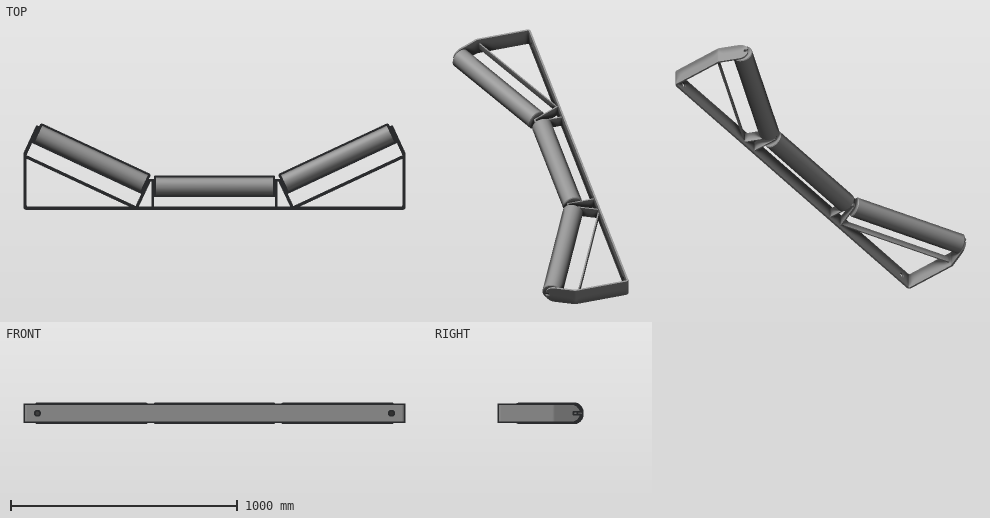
import cadquery as cq
import math

FRAME_LENGTH = 1680.0
STRIP_WIDTH = 80.0
FRAME_THICKNESS = 8.0
BASE_BEND_RADIUS = 13.0
ARM_BEND_RADIUS = 24.0
ARM_BEND_HEIGHT = 245.0
ARM_LENGTH = 135.0
TROUGH_ANGLE = 25.0
MOUNT_HOLE_DIAMETER = 24.0
MOUNT_HOLE_SPACING = 1562.0

ROLLER_DIAMETER = 89.0
ROLLER_LENGTH = 530.0
ROLLER_CHAMFER = 3.0
ROLLER_GAP = 5.0
AXLE_DIAMETER = 20.0
AXLE_FLAT_WIDTH = 14.1
WING_AXLE_REACH = 105.0
CENTRE_AXLE_HEIGHT = 100.0

BRACKET_THICKNESS = 6.0
BRACKET_WIDTH = 50.0
BRACKET_HEIGHT = 131.0

BRACE_WIDTH = 30.0
BRACE_THICKNESS = 6.0
BRACE_TOP_HEIGHT = 235.0

SIN_TILT = math.sin(math.radians(TROUGH_ANGLE))
COS_TILT = math.cos(math.radians(TROUGH_ANGLE))
HALF_LENGTH = FRAME_LENGTH / 2
UP_ARM = cq.Vector(SIN_TILT, COS_TILT, 0)
DOWN_ROLLER = cq.Vector(COS_TILT, -SIN_TILT, 0)
ARM_CORNER = cq.Vector(-HALF_LENGTH, ARM_BEND_HEIGHT, 0)
WING_AXLE_START = ARM_CORNER + UP_ARM * WING_AXLE_REACH
WING_BRACKET_FACE = WING_AXLE_START + DOWN_ROLLER * (FRAME_THICKNESS + ROLLER_LENGTH + 2 * ROLLER_GAP)
CENTRE_BRACKET_FACE_X = -(ROLLER_LENGTH / 2 + ROLLER_GAP)
X_AXIS = cq.Vector(1, 0, 0)
Y_AXIS = cq.Vector(0, 1, 0)


def extrude_outline(points, width):
    """Extrude a closed XY outline symmetrically about Z = 0."""
    outline = [(point.x, point.y) for point in points]
    return cq.Workplane("XY").polyline(outline).close().extrude(width / 2, both=True)


def mirrored(body):
    """Return the copy of a body on the +X side."""
    return body.mirror("YZ")


def axle_slot(axle_centre, axis, opening, depth):
    """Open-ended slot that seats a flatted axle end and runs out along `opening`.

    The slot begins at `axle_centre` and goes `depth` along the axle axis.
    """
    mouth = ARM_LENGTH
    plane = cq.Plane(origin=axle_centre.toTuple(), xDir=opening.toTuple(), normal=axis.toTuple())
    round_seat = cq.Workplane(plane).circle(AXLE_DIAMETER / 2).extrude(depth)
    open_part = cq.Workplane(plane).center(mouth / 2, 0).rect(mouth, AXLE_DIAMETER).extrude(depth)
    between_flats = cq.Workplane(plane).rect(2 * mouth, AXLE_FLAT_WIDTH).extrude(depth)
    return round_seat.union(open_part).intersect(between_flats)


def wing_arm():
    """Leaning end of the frame strip, with a rounded tip and the axle slot."""
    tip_radius = STRIP_WIDTH / 2
    plane = cq.Plane(origin=ARM_CORNER.toTuple(), xDir=UP_ARM.toTuple(), normal=DOWN_ROLLER.toTuple())
    tip_centre = ARM_LENGTH - tip_radius
    blank = (
        cq.Workplane(plane)
        .moveTo(0, -tip_radius)
        .lineTo(tip_centre, -tip_radius)
        .threePointArc((ARM_LENGTH, 0), (tip_centre, tip_radius))
        .lineTo(0, tip_radius)
        .close()
        .extrude(FRAME_THICKNESS)
    )
    return blank.cut(axle_slot(WING_AXLE_START, DOWN_ROLLER, UP_ARM, FRAME_THICKNESS))


def make_frame():
    """One bent strip: base, two uprights and two leaning arms."""
    inner_x = -HALF_LENGTH + FRAME_THICKNESS
    inner_bend_height = ARM_BEND_HEIGHT - FRAME_THICKNESS * math.tan(math.radians(TROUGH_ANGLE / 2))
    base = cq.Workplane("XY").box(
        FRAME_LENGTH, FRAME_THICKNESS, STRIP_WIDTH, centered=(True, False, True)
    )
    upright = extrude_outline(
        [
            cq.Vector(-HALF_LENGTH, 0, 0),
            cq.Vector(inner_x, 0, 0),
            cq.Vector(inner_x, inner_bend_height, 0),
            ARM_CORNER,
        ],
        STRIP_WIDTH,
    )
    side = upright.union(wing_arm())
    frame = base.union(side).union(mirrored(side))

    def bend_edges(x, y):
        """Pick the bend edges at (x, y) and at its mirror place."""
        reach = FRAME_THICKNESS / 4
        left, right = (
            cq.selectors.BoxSelector(
                (edge_x - reach, y - reach, -STRIP_WIDTH), (edge_x + reach, y + reach, STRIP_WIDTH)
            )
            for edge_x in (x, -x)
        )
        return frame.edges("|Z").edges(left + right)

    for x, y, radius in (
        (-HALF_LENGTH, 0, BASE_BEND_RADIUS),
        (inner_x, FRAME_THICKNESS, BASE_BEND_RADIUS - FRAME_THICKNESS),
        (-HALF_LENGTH, ARM_BEND_HEIGHT, ARM_BEND_RADIUS),
        (inner_x, inner_bend_height, ARM_BEND_RADIUS - FRAME_THICKNESS),
    ):
        frame = bend_edges(x, y).fillet(radius)

    mount_holes = (
        cq.Workplane("XZ")
        .pushPoints([(-MOUNT_HOLE_SPACING / 2, 0), (MOUNT_HOLE_SPACING / 2, 0)])
        .circle(MOUNT_HOLE_DIAMETER / 2)
        .extrude(-FRAME_THICKNESS)
    )
    return frame.cut(mount_holes)


def make_bracket():
    """Inverted V on the base that carries a wing roller and the centre roller."""
    def wing_face_at(height, inset=0):
        """Point of the leaning leg at Y = height, `inset` behind its outer face."""
        start = WING_BRACKET_FACE + DOWN_ROLLER * inset
        return start + UP_ARM * ((height - start.y) / COS_TILT)

    face_x = CENTRE_BRACKET_FACE_X
    back_x = face_x - BRACKET_THICKNESS
    bridge_underside = BRACKET_HEIGHT - BRACKET_THICKNESS
    bracket = extrude_outline(
        [
            wing_face_at(FRAME_THICKNESS),
            wing_face_at(BRACKET_HEIGHT),
            cq.Vector(face_x, BRACKET_HEIGHT, 0),
            cq.Vector(face_x, FRAME_THICKNESS, 0),
            cq.Vector(back_x, FRAME_THICKNESS, 0),
            cq.Vector(back_x, bridge_underside, 0),
            wing_face_at(bridge_underside, BRACKET_THICKNESS),
            wing_face_at(FRAME_THICKNESS, BRACKET_THICKNESS),
        ],
        BRACKET_WIDTH,
    )
    bracket = bracket.faces(">Y").edges("|Z").fillet(BRACKET_THICKNESS)
    centre_slot_start = cq.Vector(back_x, CENTRE_AXLE_HEIGHT, 0)
    bracket = bracket.cut(axle_slot(centre_slot_start, X_AXIS, Y_AXIS, BRACKET_THICKNESS))
    return bracket.cut(axle_slot(WING_BRACKET_FACE, DOWN_ROLLER, UP_ARM, BRACKET_THICKNESS))


def make_brace():
    """Flat bar from the upright down to the base, parallel to the wing roller."""
    slope = SIN_TILT / COS_TILT
    drop = BRACE_THICKNESS / COS_TILT
    top_x = -HALF_LENGTH + FRAME_THICKNESS

    def foot(start_height):
        return cq.Vector(top_x + (start_height - FRAME_THICKNESS) / slope, FRAME_THICKNESS, 0)

    return extrude_outline(
        [
            cq.Vector(top_x, BRACE_TOP_HEIGHT, 0),
            foot(BRACE_TOP_HEIGHT),
            foot(BRACE_TOP_HEIGHT - drop),
            cq.Vector(top_x, BRACE_TOP_HEIGHT - drop, 0),
        ],
        BRACE_WIDTH,
    )


def make_roller(axle_start, axis, start_support, end_support):
    """Roller and axle; the flatted axle ends fill slots of the given thicknesses."""
    plane = cq.Plane(origin=axle_start.toTuple(), xDir=(0, 0, 1), normal=axis.toTuple())
    axle_length = start_support + ROLLER_LENGTH + 2 * ROLLER_GAP + end_support
    axle = cq.Workplane(plane).circle(AXLE_DIAMETER / 2).extrude(axle_length)
    between_flats = cq.Workplane(plane).rect(AXLE_FLAT_WIDTH, 2 * AXLE_DIAMETER).extrude(axle_length)
    shell = (
        cq.Workplane(plane)
        .workplane(offset=start_support + ROLLER_GAP)
        .circle(ROLLER_DIAMETER / 2)
        .extrude(ROLLER_LENGTH)
        .edges("%CIRCLE")
        .chamfer(ROLLER_CHAMFER)
    )
    return axle.intersect(between_flats).union(shell)


frame = make_frame()
bracket = make_bracket()
brace = make_brace()
wing_roller = make_roller(WING_AXLE_START, DOWN_ROLLER, FRAME_THICKNESS, BRACKET_THICKNESS)
centre_axle_start = cq.Vector(CENTRE_BRACKET_FACE_X - BRACKET_THICKNESS, CENTRE_AXLE_HEIGHT, 0)
centre_roller = make_roller(centre_axle_start, X_AXIS, BRACKET_THICKNESS, BRACKET_THICKNESS)

bodies = [frame.val(), centre_roller.val()]
for side_body in (bracket, brace, wing_roller):
    bodies.append(side_body.val())
    bodies.append(mirrored(side_body).val())

result = cq.Compound.makeCompound(bodies)